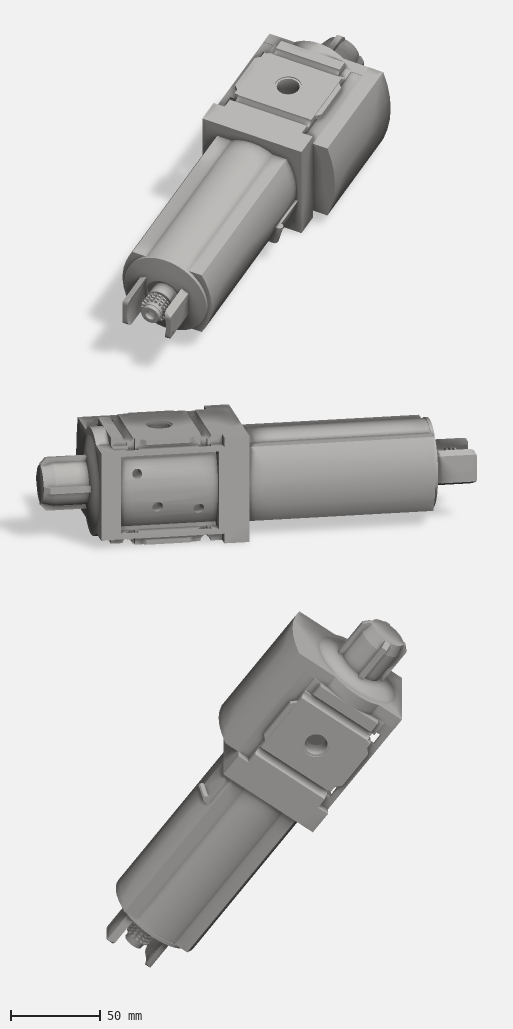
import cadquery as cq

BLOCK_SIDE = 62.0
HALF = BLOCK_SIDE / 2
BLOCK_BACK = 76.7
BACK_PLATE_END = 84.3
PLATE_HALF_HEIGHT = 25.5
LEDGE_HALF_HEIGHT = 25.3
LEDGE_FRONT = 14.3
DECK_HALF_WIDTH = 24.0

BUMP_RADIUS = 24.0
BUMP_HALF_WIDTH = 15.0

COVER_FLAT_X = 40.0
COVER_CROWN_X = 44.7

CORNER_PAD_WIDTH = 4.2
CORNER_PAD_FRONT = 67.8
CORNER_PAD_HALF_HEIGHT = 26.3

GROOVE_CENTRES = (23.4, 67.4)
GROOVE_RADIUS = 2.7

SLOT_CENTRES = (24.5, 66.0)
SLOT_LENGTH = 7.1
SLOT_NECK_LENGTH = 4.0
SLOT_OUTER_X = -27.5
SLOT_INNER_X = -22.0

PORT_Y = 45.5
PORT_DIAMETER = 12.8
PORT_RIM_DIAMETER = 15.0
PORT_RIM_DEPTH = 0.7
PORT_DEPTH = 12.3

LUG_LENGTH = 30.5
LUG_TIP_LENGTH = 24.5
LUG_REACH = 3.0
LUG_BOTTOM = 27.8
LUG_TOP = 30.5

WINDOW_FRONT = 17.2
WINDOW_BACK = 73.0
WINDOW_HALF_HEIGHT = 22.9
WINDOW_BEVEL_Z = 21.1
WINDOW_EDGE_X = 20.0
WINDOW_HOLES = ((63.0, 10.8, 5.5), (51.5, -8.8, 6.0), (27.8, -11.3, 6.0))
WINDOW_HOLE_FLOOR_X = -14.7

DOME_RADIUS = 26.3
DOME_TOP = 88.7
KNOB_RADIUS = 12.5
KNOB_TAPER_START = 106.5
KNOB_TIP = 113.3
KNOB_TIP_RADIUS = 10.8
RIB_RADIUS = 15.2
RIB_WIDTH = 3.5
RIB_CHAMFER = 3.2
RIB_COUNT = 4

BOWL_HALF_WIDTH = 27.8
BOWL_EDGE_X = 21.6
BOWL_FLAT_Z = 21.6
BOWL_BARREL_DIAMETER = 50.5
BOWL_TUBE_END = -104.2

LATCH_LENGTH = 25.0
LATCH_HOOK_LENGTH = 4.0
LATCH_TOP_Z = -7.1
LATCH_BOTTOM_Z = -19.7
LATCH_ROOT_X = 21.0
LATCH_PLATE_TOP_X = 28.8
LATCH_PLATE_BOTTOM_X = 25.5
LATCH_HOOK_RISE = 2.2
LATCH_HOOK_CHAMFER = 1.2

CAP_RIM_START = -106.5
RIM_RADIUS = 25.5
RIM_END = -108.5
BOWL_DOME_END = -110.9
DRAIN_RECESS_RADIUS = 10.8

WING_OUTER_X = 15.0
WING_INNER_X = 10.8
WING_HOLLOW_X = 12.3
WING_OUTER_HALF_Z = 7.9
WING_INNER_HALF_Z = 10.0
WING_TIP = -132.5
WING_CORNER_RADIUS = 3.7

DRAIN_COLLAR_DIAMETER = 15.7
DRAIN_COLLAR_END = -116.0
DRAIN_CORE_DIAMETER = 11.8
DRAIN_CORE_END = -125.4
DRAIN_NOZZLE_DIAMETER = 11.0
DRAIN_TIP = -127.8
DRAIN_HOLE_DIAMETER = 6.0
DRAIN_RING_CENTRES = (-118.2, -120.5, -122.7)
DRAIN_RING_THICKNESS = 1.0
DRAIN_NOTCH_COUNT = 16
DRAIN_NOTCH_WIDTH = 1.2


def box(x0, x1, y0, y1, z0, z1):
    """Box between two opposite corners."""
    return cq.Workplane("XY").box(x1 - x0, y1 - y0, z1 - z0, centered=False).translate((x0, y0, z0))


def section(y0):
    """Sketch plane across the axis at y0, with local x along X and local y along Z; extrudes to -Y."""
    return cq.Workplane("XZ", origin=(0, y0, 0))


def disc(diameter, y_back, y_front):
    """Cylinder on the axis, from y_back forward to y_front."""
    return section(y_back).circle(diameter / 2).extrude(y_back - y_front)


def lathe(profile):
    """Closed half profile in the XY plane, revolved about the Y axis."""
    return profile.close().revolve(360, (0, 0, 0), (0, 1, 0))


def dome_profile(radius, y_start, y_rim, y_tip):
    """Half profile of a short cylinder from y_start to y_rim, crowned by a shallow dome up to y_tip."""
    arc_mid = (radius / 2, y_tip + (y_rim - y_tip) / 4)
    return (
        cq.Workplane("XY")
        .moveTo(0, y_start)
        .lineTo(radius, y_start)
        .lineTo(radius, y_rim)
        .threePointArc(arc_mid, (0, y_tip))
    )


def both_faces(shape):
    """The shape together with its mirror image in the mid-plane z = 0."""
    return shape.union(shape.mirror("XY"))


def block():
    body = box(-HALF, HALF, 0, BLOCK_BACK, -HALF, HALF)
    ledge_cut = box(DECK_HALF_WIDTH, HALF, LEDGE_FRONT, BLOCK_BACK, LEDGE_HALF_HEIGHT, HALF)
    pad_cut = box(
        DECK_HALF_WIDTH - CORNER_PAD_WIDTH, DECK_HALF_WIDTH,
        CORNER_PAD_FRONT, BLOCK_BACK,
        CORNER_PAD_HALF_HEIGHT, HALF,
    )
    corner_cut = both_faces(ledge_cut.union(pad_cut))
    return body.cut(corner_cut).cut(corner_cut.mirror("YZ"))


def back_plate():
    plate = box(-HALF, HALF, BLOCK_BACK, BACK_PLATE_END, -PLATE_HALF_HEIGHT, PLATE_HALF_HEIGHT)
    thickness = BACK_PLATE_END - BLOCK_BACK
    bump = section(BACK_PLATE_END).center(0, HALF - BUMP_RADIUS).circle(BUMP_RADIUS).extrude(thickness)
    bump = bump.intersect(box(-BUMP_HALF_WIDTH, BUMP_HALF_WIDTH, BLOCK_BACK, BACK_PLATE_END, 0, HALF))
    return plate.union(both_faces(bump))


def side_cover():
    return (
        section(BACK_PLATE_END)
        .moveTo(HALF, -PLATE_HALF_HEIGHT)
        .lineTo(COVER_FLAT_X, -PLATE_HALF_HEIGHT)
        .threePointArc((COVER_CROWN_X, 0), (COVER_FLAT_X, PLATE_HALF_HEIGHT))
        .lineTo(HALF, PLATE_HALF_HEIGHT)
        .close()
        .extrude(BACK_PLATE_END - LEDGE_FRONT)
    )


def deck_lugs():
    """Flat lugs on both sides of the two raised decks."""
    lug = (
        cq.Workplane("XY", origin=(0, PORT_Y, LUG_BOTTOM))
        .moveTo(DECK_HALF_WIDTH, -LUG_LENGTH / 2)
        .lineTo(DECK_HALF_WIDTH + LUG_REACH, -LUG_TIP_LENGTH / 2)
        .lineTo(DECK_HALF_WIDTH + LUG_REACH, LUG_TIP_LENGTH / 2)
        .lineTo(DECK_HALF_WIDTH, LUG_LENGTH / 2)
        .close()
        .extrude(LUG_TOP - LUG_BOTTOM)
    )
    return both_faces(lug.union(lug.mirror("YZ")))


def deck_groove(y):
    """Round groove across the raised deck."""
    groove = (
        cq.Workplane("YZ", origin=(-DECK_HALF_WIDTH, y, HALF))
        .circle(GROOVE_RADIUS)
        .extrude(2 * DECK_HALF_WIDTH)
    )
    return both_faces(groove)


def ledge_slot(y):
    """T-shaped slot through the left ledge into the window, with its neck in the deck side."""
    half = SLOT_LENGTH / 2
    neck = SLOT_NECK_LENGTH / 2
    head = box(SLOT_OUTER_X, -DECK_HALF_WIDTH, y - half, y + half, WINDOW_BEVEL_Z, HALF)
    stem = box(-DECK_HALF_WIDTH, SLOT_INNER_X, y - neck, y + neck, WINDOW_BEVEL_Z, HALF)
    return both_faces(head.union(stem))


def port():
    """Threaded port with a shallow wider rim, opening in both deck faces."""
    bore = (
        cq.Workplane("XY", origin=(0, PORT_Y, HALF - PORT_DEPTH))
        .circle(PORT_DIAMETER / 2)
        .extrude(PORT_DEPTH)
    )
    rim = (
        cq.Workplane("XY", origin=(0, PORT_Y, HALF - PORT_RIM_DEPTH))
        .circle(PORT_RIM_DIAMETER / 2)
        .extrude(PORT_RIM_DEPTH)
    )
    return both_faces(bore.union(rim))


def window():
    """Side window whose back wall is crowned like the bowl, with three blind holes."""
    bevel = WINDOW_HALF_HEIGHT - WINDOW_BEVEL_Z
    opening = (
        section(WINDOW_BACK)
        .moveTo(-HALF, -WINDOW_HALF_HEIGHT)
        .lineTo(-WINDOW_EDGE_X - bevel, -WINDOW_HALF_HEIGHT)
        .lineTo(-WINDOW_EDGE_X, -WINDOW_BEVEL_Z)
        .threePointArc((-BOWL_HALF_WIDTH, 0), (-WINDOW_EDGE_X, WINDOW_BEVEL_Z))
        .lineTo(-WINDOW_EDGE_X - bevel, WINDOW_HALF_HEIGHT)
        .lineTo(-HALF, WINDOW_HALF_HEIGHT)
        .close()
        .extrude(WINDOW_BACK - WINDOW_FRONT)
    )
    for y, z, diameter in WINDOW_HOLES:
        hole = (
            cq.Workplane("YZ", origin=(-HALF, y, z))
            .circle(diameter / 2)
            .extrude(WINDOW_HOLE_FLOOR_X + HALF)
        )
        opening = opening.union(hole)
    return opening


def knob():
    """Domed base and ribbed adjusting knob."""
    base = lathe(dome_profile(DOME_RADIUS, BLOCK_BACK, BACK_PLATE_END, DOME_TOP))
    core = lathe(
        cq.Workplane("XY")
        .moveTo(0, BACK_PLATE_END)
        .lineTo(KNOB_RADIUS, BACK_PLATE_END)
        .lineTo(KNOB_RADIUS, KNOB_TAPER_START)
        .lineTo(KNOB_TIP_RADIUS, KNOB_TIP)
        .lineTo(0, KNOB_TIP)
    )
    rib = (
        cq.Workplane("XY")
        .moveTo(0, BACK_PLATE_END)
        .lineTo(RIB_RADIUS, BACK_PLATE_END)
        .lineTo(RIB_RADIUS, KNOB_TIP - RIB_CHAMFER)
        .lineTo(RIB_RADIUS - RIB_CHAMFER, KNOB_TIP)
        .lineTo(0, KNOB_TIP)
        .close()
        .extrude(RIB_WIDTH / 2, both=True)
    )
    body = base.union(core)
    for i in range(RIB_COUNT):
        body = body.union(rib.rotate((0, 0, 0), (0, 1, 0), i * 360 / RIB_COUNT))
    return body


def bowl_section(y_back, y_front):
    """Lens-shaped prism with a round barrel showing through its flats."""
    lens = (
        section(y_back)
        .moveTo(-BOWL_EDGE_X, -BOWL_FLAT_Z)
        .lineTo(BOWL_EDGE_X, -BOWL_FLAT_Z)
        .threePointArc((BOWL_HALF_WIDTH, 0), (BOWL_EDGE_X, BOWL_FLAT_Z))
        .lineTo(-BOWL_EDGE_X, BOWL_FLAT_Z)
        .threePointArc((-BOWL_HALF_WIDTH, 0), (-BOWL_EDGE_X, -BOWL_FLAT_Z))
        .close()
        .extrude(y_back - y_front)
    )
    return lens.union(disc(BOWL_BARREL_DIAMETER, y_back, y_front))


def latch_bar(y_back, length, rise):
    """Slanted bar from inside the bowl wall out to the latch plate face, raised further by rise."""
    return (
        section(y_back)
        .moveTo(LATCH_ROOT_X, LATCH_TOP_Z)
        .lineTo(LATCH_PLATE_TOP_X + rise, LATCH_TOP_Z)
        .lineTo(LATCH_PLATE_BOTTOM_X + rise, LATCH_BOTTOM_Z)
        .lineTo(LATCH_ROOT_X, LATCH_BOTTOM_Z)
        .close()
        .extrude(length)
    )


def latch():
    """Locking slide on the curved right side, with a raised hook at its free end."""
    slant = cq.Vector(LATCH_PLATE_TOP_X - LATCH_PLATE_BOTTOM_X, 0, LATCH_TOP_Z - LATCH_BOTTOM_Z)
    hook = latch_bar(LATCH_HOOK_LENGTH - LATCH_LENGTH, LATCH_HOOK_LENGTH, LATCH_HOOK_RISE)
    hook = hook.edges(cq.selectors.ParallelDirSelector(slant)).chamfer(LATCH_HOOK_CHAMFER)
    return latch_bar(0, LATCH_LENGTH, 0).union(hook)


def make_regulator():
    body = block().union(back_plate()).union(side_cover()).union(deck_lugs()).union(knob())
    for y in GROOVE_CENTRES:
        body = body.cut(deck_groove(y))
    for y in SLOT_CENTRES:
        body = body.cut(ledge_slot(y))
    body = body.cut(port()).cut(window())
    return body.union(bowl_section(0, BOWL_TUBE_END)).union(latch())


def cap_plate():
    """End plate in the bowl outline with a domed round rim and a recess around the drain."""
    plate = bowl_section(BOWL_TUBE_END, CAP_RIM_START)
    dome = lathe(dome_profile(RIM_RADIUS, CAP_RIM_START, RIM_END, BOWL_DOME_END))
    recess = disc(2 * DRAIN_RECESS_RADIUS, RIM_END, BOWL_DOME_END)
    return plate.union(dome).cut(recess)


def wing():
    """Guard wing beside the drain, hollowed on its inner face and rounded at its tip corners."""
    blade = (
        section(RIM_END)
        .moveTo(WING_OUTER_X, -WING_OUTER_HALF_Z)
        .lineTo(WING_OUTER_X, WING_OUTER_HALF_Z)
        .lineTo(WING_INNER_X, WING_INNER_HALF_Z)
        .threePointArc((WING_HOLLOW_X, 0), (WING_INNER_X, -WING_INNER_HALF_Z))
        .close()
        .extrude(RIM_END - WING_TIP)
    )
    envelope = (
        box(WING_INNER_X, WING_OUTER_X, WING_TIP, RIM_END, -WING_INNER_HALF_Z, WING_INNER_HALF_Z)
        .edges("|X and <Y")
        .fillet(WING_CORNER_RADIUS)
    )
    return blade.intersect(envelope)


def drain():
    """Drain stub with a collar, three notched rings and a bored nozzle."""
    body = disc(DRAIN_COLLAR_DIAMETER, CAP_RIM_START, DRAIN_COLLAR_END)
    body = body.union(disc(DRAIN_CORE_DIAMETER, DRAIN_COLLAR_END, DRAIN_CORE_END))
    body = body.union(disc(DRAIN_NOZZLE_DIAMETER, DRAIN_CORE_END, DRAIN_TIP))
    core_radius = DRAIN_CORE_DIAMETER / 2
    ring_radius = DRAIN_COLLAR_DIAMETER / 2
    notch = box(
        core_radius, ring_radius, DRAIN_CORE_END, DRAIN_COLLAR_END,
        -DRAIN_NOTCH_WIDTH / 2, DRAIN_NOTCH_WIDTH / 2,
    )
    half = DRAIN_RING_THICKNESS / 2
    for y in DRAIN_RING_CENTRES:
        body = body.union(disc(DRAIN_COLLAR_DIAMETER, y + half, y - half))
    for i in range(DRAIN_NOTCH_COUNT):
        body = body.cut(notch.rotate((0, 0, 0), (0, 1, 0), i * 360 / DRAIN_NOTCH_COUNT))
    return body.cut(disc(DRAIN_HOLE_DIAMETER, DRAIN_COLLAR_END, DRAIN_TIP))


def make_bowl_cap():
    return cap_plate().union(drain()).union(wing()).union(wing().mirror("YZ"))


regulator = make_regulator()
bowl_cap = make_bowl_cap()

result = cq.Compound.makeCompound([regulator.val(), bowl_cap.val()])